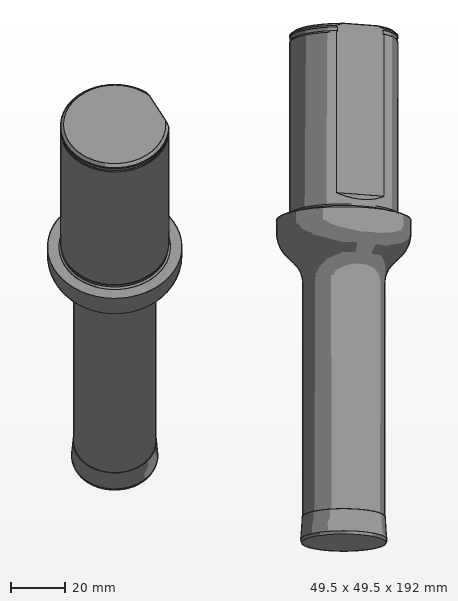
import cadquery as cq
import math

TOTAL_HEIGHT = 192.0
HEAD_TOP = 10.2
NECK_BOTTOM = 98.1
FLANGE_BOTTOM = 117.0
FLANGE_TOP = 121.7

SHAFT_RADIUS = 30.3 / 2
FLANGE_RADIUS = 49.5 / 2
SHANK_RADIUS = 40.0 / 2
GROOVE_RADIUS = 39.5 / 2

TOP_CHAMFER_WIDTH = 1.2
TOP_CHAMFER_HEIGHT = 1.0
TOP_GROOVE_TOP = 190.5
TOP_GROOVE_HEIGHT = 2.0
GROOVE_TAPER_HEIGHT = 0.5

RELIEF_HEIGHT = 2.1
RELIEF_FLARE_RADIUS = 20.5
RELIEF_FLARE_HEIGHT = 0.5

FLAT_DISTANCE = 17.7
FLAT_BOTTOM = 128.0

HEAD_TOP_RADIUS = 15.4
HEAD_EDGE_RADIUS = 16.0
HEAD_EDGE_HEIGHT = 1.7
TIP_FLAT_RADIUS = 5.5
TIP_CONE_RADIUS = 15.5
TIP_CONE_HEIGHT = 0.5

NECK_ANGLE = math.radians(45)
NECK_WIDTH = FLANGE_RADIUS - SHAFT_RADIUS
NECK_HEIGHT = FLANGE_BOTTOM - NECK_BOTTOM
NECK_ARC_RADIUS = (NECK_HEIGHT - NECK_WIDTH) / (4 * math.sin(NECK_ANGLE) - 2)


def arc_offset(angle):
    """Inward and axial travel along a neck arc that starts out vertical."""
    inward = NECK_ARC_RADIUS * (1 - math.cos(angle))
    axial = NECK_ARC_RADIUS * math.sin(angle)
    return inward, axial


def revolve_about_z(profile):
    return profile.close().revolve(360, (0, 0, 0), (0, 1, 0))


def make_holder_blank():
    mid_in, mid_axial = arc_offset(NECK_ANGLE / 2)
    end_in, end_axial = arc_offset(NECK_ANGLE)
    groove_bottom = TOP_GROOVE_TOP - TOP_GROOVE_HEIGHT
    flare_top = FLANGE_TOP + RELIEF_FLARE_HEIGHT
    relief_top = FLANGE_TOP + RELIEF_HEIGHT
    profile = (
        cq.Workplane("XZ")
        .moveTo(0, HEAD_TOP)
        .lineTo(SHAFT_RADIUS, HEAD_TOP)
        .lineTo(SHAFT_RADIUS, NECK_BOTTOM)
        .threePointArc(
            (SHAFT_RADIUS + mid_in, NECK_BOTTOM + mid_axial),
            (SHAFT_RADIUS + end_in, NECK_BOTTOM + end_axial),
        )
        .lineTo(FLANGE_RADIUS - end_in, FLANGE_BOTTOM - end_axial)
        .threePointArc(
            (FLANGE_RADIUS - mid_in, FLANGE_BOTTOM - mid_axial),
            (FLANGE_RADIUS, FLANGE_BOTTOM),
        )
        .lineTo(FLANGE_RADIUS, FLANGE_TOP)
        .lineTo(RELIEF_FLARE_RADIUS, FLANGE_TOP)
        .lineTo(GROOVE_RADIUS, flare_top)
        .lineTo(GROOVE_RADIUS, relief_top - GROOVE_TAPER_HEIGHT)
        .lineTo(SHANK_RADIUS, relief_top)
        .lineTo(SHANK_RADIUS, groove_bottom)
        .lineTo(GROOVE_RADIUS, groove_bottom + GROOVE_TAPER_HEIGHT)
        .lineTo(GROOVE_RADIUS, TOP_GROOVE_TOP)
        .lineTo(SHANK_RADIUS, TOP_GROOVE_TOP)
        .lineTo(SHANK_RADIUS, TOTAL_HEIGHT - TOP_CHAMFER_HEIGHT)
        .lineTo(SHANK_RADIUS - TOP_CHAMFER_WIDTH, TOTAL_HEIGHT)
        .lineTo(0, TOTAL_HEIGHT)
    )
    return revolve_about_z(profile)


def make_flat_cutter():
    """Prism along X that leaves the flat with a 45 degree run-out at its lower end."""
    depth = SHANK_RADIUS - FLAT_DISTANCE
    return (
        cq.Workplane("YZ")
        .moveTo(FLAT_DISTANCE, TOTAL_HEIGHT)
        .lineTo(FLAT_DISTANCE, FLAT_BOTTOM)
        .lineTo(SHANK_RADIUS, FLAT_BOTTOM - depth)
        .lineTo(SHANK_RADIUS, TOTAL_HEIGHT)
        .close()
        .extrude(SHANK_RADIUS, both=True)
    )


def make_holder():
    return make_holder_blank().cut(make_flat_cutter())


def make_drill_head():
    """Slightly flared head with a shallow cone ending in a flat, seated against the shaft end."""
    profile = (
        cq.Workplane("XZ")
        .moveTo(0, 0)
        .lineTo(TIP_FLAT_RADIUS, 0)
        .lineTo(TIP_CONE_RADIUS, TIP_CONE_HEIGHT)
        .lineTo(HEAD_EDGE_RADIUS, HEAD_EDGE_HEIGHT)
        .lineTo(HEAD_TOP_RADIUS, HEAD_TOP)
        .lineTo(0, HEAD_TOP)
    )
    return revolve_about_z(profile)


holder = make_holder()
drill_head = make_drill_head()

result = cq.Compound.makeCompound([holder.val(), drill_head.val()])